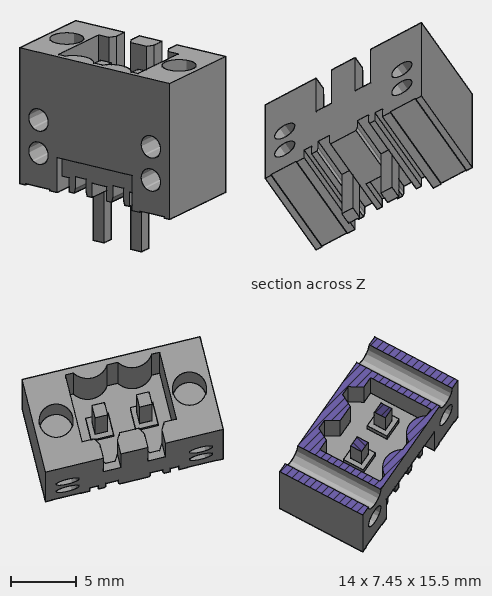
import cadquery as cq


width = 14.0
depth = 7.45
height = 11.04

pitch = 3.5
pin_width = 1.0
pin_y = 3.5
pin_tail = 4.51
pin_top_gap = 1.21
pin_xs = (-pitch / 2, pitch / 2)
pin_front_y = pin_y - pin_width / 2

cavity_width = 7.42
cavity_front = 0.45
cavity_back = 5.82
cavity_depth = 7.78
cavity_floor = height - cavity_depth

groove_base = 1.99
groove_tip = 0.78
groove_tip_y = 6.85

back_slot_width = 1.37
back_slot_depth = 5.0

rib_radius = 1.6
rib_reach = 1.17

collar_width = 1.77
collar_height = 0.47

end_x = 5.24
bore_diameter = 2.6
bore_depth = 3.89
bore_y = 3.75
cross_diameter = 1.8
cross_low_z = 2.85
cross_spacing = 2.69

underside_groove_width = 2.25
underside_groove_height = 0.11
underside_groove_x = 5.33

recess_width = 7.0
recess_height = 2.85
recess_depth = 0.62

notch_height = 1.17
middle_notch_width = 1.37
feet_half_span = 2.83

pin_slot_height = 1.37
flare_height = 0.39
flare_width = 0.11


def block(x_min, x_max, y_min, y_max, z_min, z_max):
    """Box given by its limits along each axis."""
    size = (x_max - x_min, y_max - y_min, z_max - z_min)
    return cq.Workplane("XY").box(*size, centered=False).translate((x_min, y_min, z_min))


def centred_block(x, block_width, y_min, y_max, z_min, z_max):
    """Box centred on x."""
    return block(x - block_width / 2, x + block_width / 2, y_min, y_max, z_min, z_max)


def plug_cavity():
    """Cavity with back grooves, less the front ribs and the pin collars."""
    cavity = centred_block(0, cavity_width, cavity_front, cavity_back, cavity_floor, height)
    for x in pin_xs:
        groove = (
            cq.Workplane("XY", origin=(x, 0, cavity_floor))
            .moveTo(-groove_base / 2, cavity_back)
            .lineTo(-groove_tip / 2, groove_tip_y)
            .lineTo(groove_tip / 2, groove_tip_y)
            .lineTo(groove_base / 2, cavity_back)
            .close()
            .extrude(cavity_depth)
        )
        rib = (
            cq.Workplane("XY", origin=(x, rib_reach - rib_radius, cavity_floor))
            .circle(rib_radius)
            .extrude(cavity_depth)
        )
        collar = centred_block(
            x, collar_width, pin_y - collar_width / 2, pin_y + collar_width / 2,
            cavity_floor, cavity_floor + collar_height,
        )
        cavity = cavity.union(groove).cut(rib).cut(collar)
    return cavity


def back_slot(x):
    return centred_block(x, back_slot_width, cavity_back, depth, height - back_slot_depth, height)


def screw_bore(x):
    bore = cq.Workplane("XY", origin=(x, bore_y, height - bore_depth))
    return bore.circle(bore_diameter / 2).extrude(bore_depth)


def cross_hole(x, z):
    return cq.Workplane("XZ", origin=(x, 0, z)).circle(cross_diameter / 2).extrude(-depth)


def underside_groove(x):
    return centred_block(x, underside_groove_width, 0, depth, 0, underside_groove_height)


def front_recess():
    return centred_block(0, recess_width, 0, recess_depth, 0, recess_height)


def foot_notches():
    """Outer notches run through to the back; the middle one stops level with the pin fronts."""
    middle = centred_block(0, middle_notch_width, 0, pin_front_y, 0, notch_height)
    left = block(-recess_width / 2, -feet_half_span, 0, depth, 0, notch_height)
    right = block(feet_half_span, recess_width / 2, 0, depth, 0, notch_height)
    return middle.union(left).union(right)


def pin_slot(x):
    """Slot from front to back around the pin, widening at the underside."""
    half = pin_width / 2
    return (
        cq.Workplane("XZ", origin=(x, 0, 0))
        .moveTo(-half - flare_width, 0)
        .lineTo(-half, flare_height)
        .lineTo(-half, pin_slot_height)
        .lineTo(half, pin_slot_height)
        .lineTo(half, flare_height)
        .lineTo(half + flare_width, 0)
        .close()
        .extrude(-depth)
    )


def make_pin(x):
    """Straight square pin from the tail to the tip inside the cavity."""
    return centred_block(
        x, pin_width, pin_front_y, pin_front_y + pin_width, -pin_tail, height - pin_top_gap
    )


def make_housing():
    housing = centred_block(0, width, 0, depth, 0, height)
    housing = housing.cut(plug_cavity()).cut(front_recess()).cut(foot_notches())
    for x in pin_xs:
        housing = housing.cut(back_slot(x)).cut(pin_slot(x)).cut(make_pin(x))
    for side in (-1, 1):
        housing = housing.cut(screw_bore(side * end_x))
        housing = housing.cut(underside_groove(side * underside_groove_x))
        for z in (cross_low_z, cross_low_z + cross_spacing):
            housing = housing.cut(cross_hole(side * end_x, z))
    return housing.solids()


housing = make_housing()
pins = [make_pin(x) for x in pin_xs]

result = cq.Compound.makeCompound([housing.val(), *[pin.val() for pin in pins]])